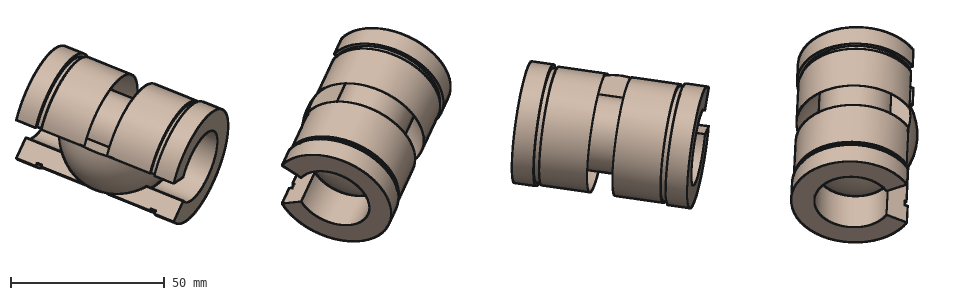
import cadquery as cq
import math

length = 58.0
outer_radius = 20.0
flange_width = 7.15
groove_width = 1.8
groove_radius = 18.85
waist_gap = 8.35
bore_radius = 12.45
ball_radius = outer_radius
land_thickness = 0.05
slot_half_angle = 28.0

half_length = length / 2
flange_start = half_length - flange_width
groove_start = flange_start - groove_width
socket_radius = ball_radius - land_thickness
barrel_radius = math.sqrt(socket_radius**2 - (waist_gap / 2) ** 2)


def disc(x_start, x_end, radius):
    """Solid cylinder on the X axis between two stations."""
    return cq.Workplane("YZ", origin=(x_start, 0, 0)).circle(radius).extrude(x_end - x_start)


def slot_wedge():
    """Radial wedge opening toward -Y, with its tip on the axis."""
    depth = 2 * outer_radius
    half_height = depth * math.tan(math.radians(slot_half_angle))
    return (
        cq.Workplane("YZ", origin=(-half_length, 0, 0))
        .polyline([(0, 0), (-depth, half_height), (-depth, -half_height)])
        .close()
        .extrude(length)
    )


opening = disc(-half_length, half_length, bore_radius).union(slot_wedge())

housing = disc(-groove_start, groove_start, barrel_radius)
for side in (-1, 1):
    groove_band = disc(side * groove_start, side * flange_start, groove_radius)
    flange = disc(side * flange_start, side * half_length, outer_radius)
    housing = housing.union(groove_band).union(flange)
socket = cq.Workplane("XY").sphere(socket_radius)
housing = housing.cut(opening).cut(socket)

ball = cq.Workplane("XY").sphere(ball_radius).intersect(opening)

result = housing.union(ball)